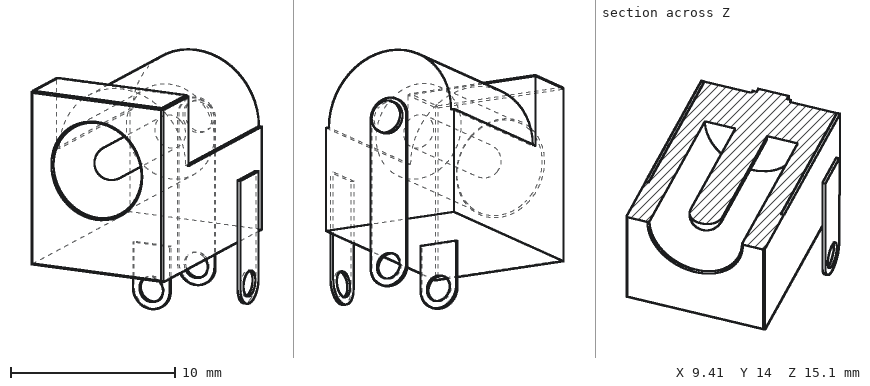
import cadquery as cq


width = 9.0
height = 11.01
depth = 13.5
head_depth = 3.5
barrel_radius = 4.3
edge_chamfer = 0.1
axis_to_top = width / 2
housing_bottom = axis_to_top - height

bore_diameter = 6.0
bore_depth = 10.0
pin_diameter = 2.1
pin_tip_rounding = 1.0
pin_recess = 1.0

tab_width = 2.5
tab_radius = tab_width / 2
tab_thickness = 0.2
tab_hole_diameter = 1.6
tab_drop = 4.09
middle_tab_setback = 5.9
rivet_diameter = 2.0
rivet_height = 0.3

side_tab_drop = 4.0
side_tab_rise = 4.05
side_tab_gap = 0.21
side_tab_center_y = depth - tab_width


def cylinder_along_y(diameter, front, length):
    """Cylinder on the socket axis, from Y = front toward the rear."""
    return cq.Workplane("XZ", origin=(0, front, 0)).circle(diameter / 2).extrude(-length)


def make_tab(top, bottom):
    """Flat tab along Z with a square top, a round lower end and a hole.

    It is centred on X = 0, and its front face lies at Y = 0.
    """
    hole_z = bottom + tab_radius
    return (
        cq.Workplane("XZ")
        .moveTo(-tab_radius, top)
        .lineTo(-tab_radius, hole_z)
        .threePointArc((0, bottom), (tab_radius, hole_z))
        .lineTo(tab_radius, top)
        .close()
        .moveTo(0, hole_z)
        .circle(tab_hole_diameter / 2)
        .extrude(-tab_thickness)
    )


def make_shell():
    """Square head and arched barrel, before the socket is cut."""
    head = cq.Workplane("XY").box(width, head_depth, height, centered=(True, False, False))
    head = head.translate((0, 0, housing_bottom))
    head = head.faces("<Y or >Z").edges().chamfer(edge_chamfer)

    lower_height = -housing_bottom
    base = (
        cq.Workplane("XY", origin=(0, head_depth, housing_bottom))
        .box(width, depth - head_depth, lower_height, centered=(True, False, False))
    )
    barrel = cylinder_along_y(2 * barrel_radius, head_depth, depth - head_depth)
    return head.union(base).union(barrel)


def cut_socket(shell):
    """Bore with a chamfered mouth."""
    bore = cylinder_along_y(bore_diameter, 0, bore_depth)
    mouth = (
        cq.Workplane("XZ")
        .circle(bore_diameter / 2 + edge_chamfer)
        .workplane(offset=-edge_chamfer)
        .circle(bore_diameter / 2)
        .loft()
    )
    return shell.cut(bore).cut(mouth)


def make_pin():
    """Contact pin with a rounded tip and a tiny end flat, rooted in the floor of the bore."""
    pin = cylinder_along_y(pin_diameter, pin_recess, depth - pin_recess)
    return pin.faces("<Y").edges().fillet(pin_tip_rounding)


def make_rear_terminal():
    """Round-topped tab against the rear face, with the rivet head on it."""
    tab = make_tab(0, housing_bottom - tab_drop).translate((0, depth, 0))
    round_top = cylinder_along_y(tab_width, depth, tab_thickness)
    rivet = cylinder_along_y(rivet_diameter, depth, tab_thickness + rivet_height)
    return tab.union(round_top).union(rivet)


def make_middle_terminal():
    """Tab hanging from the underside of the housing."""
    front = depth - middle_tab_setback - tab_thickness
    return make_tab(housing_bottom, housing_bottom - tab_drop).translate((0, front, 0))


def make_jack():
    """Housing with its pin, rear terminal and middle terminal."""
    jack = cut_socket(make_shell())
    for feature in (make_pin(), make_rear_terminal(), make_middle_terminal()):
        jack = jack.union(feature)
    return jack


def make_side_terminal():
    """Separate tab standing clear of the +X side of the housing."""
    tab = make_tab(housing_bottom + side_tab_rise, housing_bottom - side_tab_drop)
    outer_x = width / 2 + side_tab_gap + tab_thickness
    return tab.rotate((0, 0, 0), (0, 0, 1), 90).translate((outer_x, side_tab_center_y, 0))


jack = make_jack()
side_terminal = make_side_terminal()

result = cq.Compound.makeCompound([jack.solids().val(), side_terminal.val()])